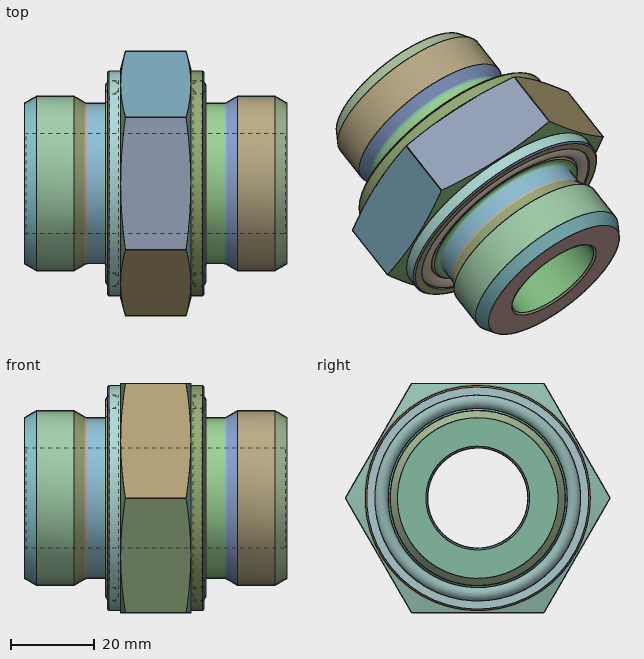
import cadquery as cq
import math

length = 63.0
half_length = length / 2

hex_across_flats = 55.0
hex_corner_diameter = 63.4
hex_width = 16.95
hex_face_diameter = 54.55
hex_chamfer_angle = 15.0

stud_radius = 41.9 / 2
neck_radius = 38.5 / 2
taper_angle = 30.0
back_taper_start = 11.85
neck_blend = 1.3
collar_radius = 54.0 / 2
collar_face = 19.9
collar_chamfer = 0.4
neck_fillet = 0.75

bore_radius = 24.0 / 2
bore_chamfer = 0.45

land_radius = 42.05 / 2
land_chamfer = 0.45
groove_inner_radius = land_radius + land_chamfer
groove_outer_radius = 49.35 / 2
ring_protrusion = 0.5
ring_section_radius = (groove_outer_radius - groove_inner_radius) / 2
ring_center_radius = (groove_outer_radius + groove_inner_radius) / 2
groove_depth = 2 * ring_section_radius - ring_protrusion

taper_length = (stud_radius - neck_radius) / math.tan(math.radians(taper_angle))
collar_face_x = half_length - collar_face
ring_center_x = collar_face_x + ring_protrusion - ring_section_radius


def revolve_about_x(sketch):
    return sketch.revolve(360, (0, 0, 0), (1, 0, 0))


def make_hexagon():
    """Hexagon with corners on Y, its corners turned and chamfered on both faces."""
    prism = (
        cq.Workplane("YZ")
        .polygon(6, hex_across_flats / math.cos(math.radians(30)))
        .extrude(hex_width / 2, both=True)
    )
    corner_radius = hex_corner_diameter / 2
    face_radius = hex_face_diameter / 2
    face_x = hex_width / 2
    chamfer_width = (corner_radius - face_radius) * math.tan(math.radians(hex_chamfer_angle))
    envelope = revolve_about_x(
        cq.Workplane("XY")
        .moveTo(-face_x, 0)
        .lineTo(-face_x, face_radius)
        .lineTo(-face_x + chamfer_width, corner_radius)
        .lineTo(face_x - chamfer_width, corner_radius)
        .lineTo(face_x, face_radius)
        .lineTo(face_x, 0)
        .close()
    )
    return prism.intersect(envelope)


def make_turned_end():
    """Stud, neck and collar on the +X side of the middle plane."""
    taper = math.radians(taper_angle)
    taper_end_x = half_length - back_taper_start - taper_length
    blend_tangent = neck_blend * math.tan(taper / 2)
    blend_neck_x = taper_end_x - blend_tangent
    blend_mid = (
        blend_neck_x + neck_blend * math.sin(taper / 2),
        neck_radius + neck_blend * (1 - math.cos(taper / 2)),
    )
    blend_end = (
        blend_neck_x + neck_blend * math.sin(taper),
        neck_radius + neck_blend * (1 - math.cos(taper)),
    )
    fillet_mid_offset = neck_fillet * (1 - math.sqrt(0.5))
    return revolve_about_x(
        cq.Workplane("XY")
        .lineTo(0, collar_radius)
        .lineTo(collar_face_x - collar_chamfer, collar_radius)
        .lineTo(collar_face_x, collar_radius - collar_chamfer)
        .lineTo(collar_face_x, neck_radius + neck_fillet)
        .threePointArc(
            (collar_face_x + fillet_mid_offset, neck_radius + fillet_mid_offset),
            (collar_face_x + neck_fillet, neck_radius),
        )
        .lineTo(blend_neck_x, neck_radius)
        .threePointArc(blend_mid, blend_end)
        .lineTo(half_length - back_taper_start, stud_radius)
        .lineTo(half_length - taper_length, stud_radius)
        .lineTo(half_length, neck_radius)
        .lineTo(half_length, 0)
        .close()
    )


def make_bore():
    """Through bore with a chamfer at each end."""
    mouth_radius = bore_radius + bore_chamfer
    chamfer_x = half_length - bore_chamfer
    return revolve_about_x(
        cq.Workplane("XY")
        .moveTo(-half_length, 0)
        .lineTo(-half_length, mouth_radius)
        .lineTo(-chamfer_x, bore_radius)
        .lineTo(chamfer_x, bore_radius)
        .lineTo(half_length, mouth_radius)
        .lineTo(half_length, 0)
        .close()
    )


def make_groove():
    """Ring groove in the +X collar face, chamfered at its inner edge."""
    floor_x = collar_face_x - groove_depth
    return revolve_about_x(
        cq.Workplane("XY")
        .moveTo(floor_x, groove_inner_radius)
        .lineTo(floor_x, groove_outer_radius)
        .lineTo(collar_face_x, groove_outer_radius)
        .lineTo(collar_face_x, land_radius)
        .lineTo(collar_face_x - land_chamfer, groove_inner_radius)
        .close()
    )


def make_fitting():
    turned_end = make_turned_end()
    groove = make_groove()
    return (
        make_hexagon()
        .union(turned_end)
        .union(turned_end.mirror("YZ"))
        .cut(make_bore())
        .cut(groove)
        .cut(groove.mirror("YZ"))
    )


def make_sealing_ring(side):
    """Round-section ring; side is +1 or -1 along X."""
    return cq.Solid.makeTorus(
        ring_center_radius,
        ring_section_radius,
        cq.Vector(side * ring_center_x, 0, 0),
        cq.Vector(1, 0, 0),
    )


fitting = make_fitting()
sealing_rings = [make_sealing_ring(side) for side in (-1, 1)]

result = cq.Compound.makeCompound([fitting.val(), *sealing_rings])